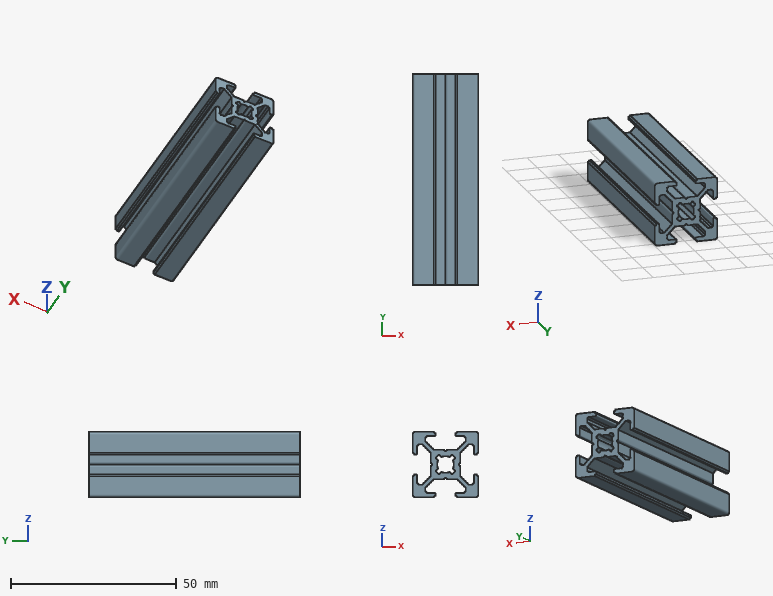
import cadquery as cq
import math

length = 64.0
side = 20.0
half_side = side / 2
outer_corner_radius = 0.95

slot_half_opening = 3.0
lip_thickness = 1.4
lip_cove_radius = 0.5
lip_inner_radius = 0.4
pocket_half_width = 6.1
pocket_chamfer = 0.5

core_half_side = 4.5
web_thickness = 1.35

groove_half_width = 0.5
groove_depth = 0.5
groove_edge_radius = 0.5

bore_radius = 2.5
notch_width = 1.4
notch_reach = 3.5
notch_corner_radius = 0.2

web_shift = web_thickness / 2 * math.sqrt(2)


def rotate_quarters(point, quarters):
    """Turn a point clockwise about the profile centre in exact steps of 90 degrees."""
    x, z = point
    for _ in range(quarters):
        x, z = z, -x
    return x, z


def quarter_corners():
    """(point, radius) pairs from the upper-left corner across the upper slot.

    A positive radius rounds the corner, a negative one cuts a concave cove, 0 keeps it sharp.
    """
    lip_inner_face = half_side - lip_thickness
    left_half = [
        ((-slot_half_opening, half_side), -lip_cove_radius),
        ((-slot_half_opening, lip_inner_face), lip_inner_radius),
        ((pocket_chamfer - pocket_half_width, lip_inner_face), 0),
        ((-pocket_half_width, lip_inner_face - pocket_chamfer), 0),
        ((-pocket_half_width, pocket_half_width + web_shift), 0),
        ((web_shift - core_half_side, core_half_side), 0),
        ((-groove_half_width, core_half_side), groove_edge_radius),
    ]
    right_half = [((-x, z), radius) for (x, z), radius in reversed(left_half)]
    outer_corner = ((-half_side, half_side), outer_corner_radius)
    groove_root = ((0, core_half_side - groove_depth), 0)
    return [outer_corner] + left_half + [groove_root] + right_half


def corner_arc(before, corner, after, radius):
    """Start, middle and end of the round (radius > 0) or cove (radius < 0) on a corner."""
    corner = cq.Vector(*corner)
    to_before = (cq.Vector(*before) - corner).normalized()
    to_after = (cq.Vector(*after) - corner).normalized()
    bisector = (to_before + to_after).normalized()
    if radius > 0:
        half_angle = to_before.getAngle(to_after) / 2
        end_distance = radius / math.tan(half_angle)
        middle_distance = radius / math.sin(half_angle) - radius
    else:
        end_distance = -radius
        middle_distance = -radius
    return (
        (corner + to_before * end_distance).toTuple()[:2],
        (corner + bisector * middle_distance).toTuple()[:2],
        (corner + to_after * end_distance).toTuple()[:2],
    )


def shaped_outline(workplane, corners):
    """Closed outline through the corners, each shaped by its own radius."""
    points = [point for point, _ in corners]
    outline = None
    for i, (point, radius) in enumerate(corners):
        if radius:
            start, middle, end = corner_arc(points[i - 1], point, points[(i + 1) % len(points)], radius)
        else:
            start = point
        outline = workplane.moveTo(*start) if outline is None else outline.lineTo(*start)
        if radius:
            outline = outline.threePointArc(middle, end)
    return outline.close()


def profile_plane():
    """XZ plane at the -Y end; its normal points to -Y."""
    return cq.Workplane("XZ", origin=(0, -length / 2, 0))


profile_corners = [
    (rotate_quarters(point, quarters), radius)
    for quarters in range(4)
    for point, radius in quarter_corners()
]
bar = shaped_outline(profile_plane(), profile_corners).extrude(-length)

opening = profile_plane().circle(bore_radius).extrude(-length)
for angle in (45, 135):
    notch_pair = profile_plane().transformed(rotate=(0, 0, angle))
    notch_bar = notch_pair.rect(2 * notch_reach, notch_width).extrude(-length)
    opening = opening.union(notch_bar.edges("|Y").fillet(notch_corner_radius))

result = bar.cut(opening)